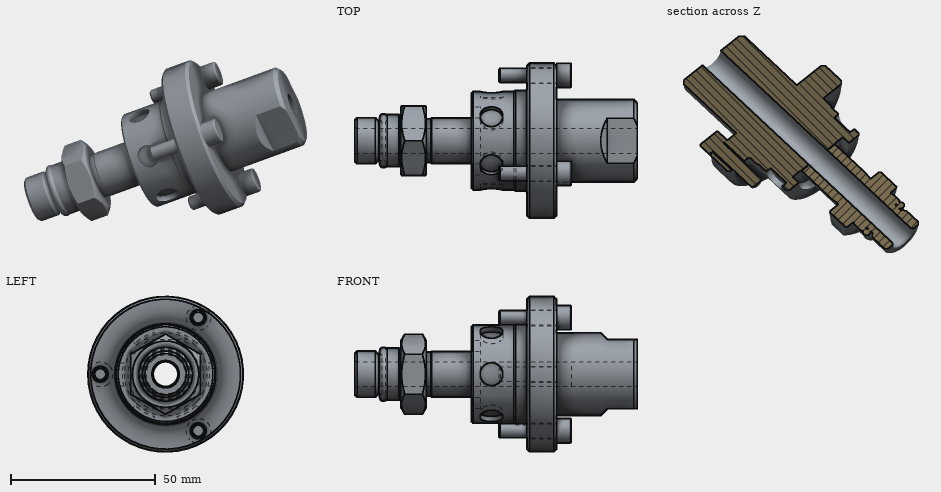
import cadquery as cq
import math


TOTAL_LENGTH = 97.6
BORE_DIAMETER = 8.5

BORE_MOUTH_DIAMETER = 9.5
BORE_MOUTH_DEPTH = 0.8
THREAD_DIAMETER = 16.0
THREAD_TIP_DIAMETER = 14.25
THREAD_SHOULDER_X = 7.1

GROOVE_DIAMETER = 13.5
GROOVE_END_X = 11.2
RING_DIAMETER = 18.6
RING_CENTER_X = 10.0
RING_SECTION_RADIUS = 1.4
SEAL_COLLAR_DIAMETER = 18.2
SEAL_COLLAR_END_X = 15.5
RELIEF_STEP = 0.3

HEX_START_X = 15.9
HEX_LENGTH = 8.9
HEX_ACROSS_FLATS = 24.0
HEX_FACE_DIAMETER = 22.8
HEX_CHAMFER_ANGLE = 30.0
NECK_DIAMETER = 15.3
NECK_END_X = 26.4
NECK_TAPER_LENGTH = 0.3
SHAFT_DIAMETER = 15.8

COLLAR_START_X = 40.3
COLLAR_DIAMETER = 34.1
COLLAR_CHAMFER = 0.7
RECESS_DIAMETER = 23.4
RECESS_DEPTH = 3.1
PILOT_DIAMETER = 34.8
PILOT_START_X = 55.5
PILOT_LEAD_LENGTH = 0.6
PILOT_FILLET = 0.5

RADIAL_HOLE_COUNT = 6
RADIAL_HOLE_DIAMETER = 7.9
RADIAL_HOLE_X = 47.2
RADIAL_HOLE_FLOOR_DIAMETER = 30.1

FLANGE_START_X = 59.4
FLANGE_THICKNESS = 10.2
FLANGE_DIAMETER = 53.7
FLANGE_CHAMFER = 1.0

BODY_DIAMETER = 28.6
BODY_CHAMFER = 1.3
FLAT_SPACING = 24.0
FLAT_START_X = 87.3

SCREW_COUNT = 3
SCREW_CIRCLE_RADIUS = 22.5
SCREW_DIAMETER = 5.0
SCREW_TIP_X = 49.7
SCREW_TIP_CHAMFER = 0.6
SCREW_HOLE_DIAMETER = 5.5
SCREW_HEAD_DIAMETER = 8.5
SCREW_HEAD_LENGTH = 5.1
SCREW_HEAD_FILLET = 0.5

HEX_END_X = HEX_START_X + HEX_LENGTH
STEM_END_X = COLLAR_START_X + RECESS_DEPTH
FLANGE_END_X = FLANGE_START_X + FLANGE_THICKNESS


def cylinder_x(diameter, start_x, end_x):
    """Solid cylinder on the X axis between two stations."""
    return cq.Workplane("YZ").workplane(offset=start_x).circle(diameter / 2).extrude(end_x - start_x)


def revolve_x(outline):
    """Turn a closed (x, radius) outline about the X axis."""
    return outline.close().revolve(360, (0, 0, 0), (1, 0, 0))


def placed_around_x(shape, count):
    """Equally spaced copies of a workplane shape about the X axis."""
    return [shape.rotate((0, 0, 0), (1, 0, 0), i * 360 / count) for i in range(count)]



def make_stem_turning():
    """Thread, seal groove, seal collar, neck and shaft as one turned shape."""
    thread_radius = THREAD_DIAMETER / 2
    tip_radius = THREAD_TIP_DIAMETER / 2
    groove_radius = GROOVE_DIAMETER / 2
    collar_radius = SEAL_COLLAR_DIAMETER / 2
    neck_radius = NECK_DIAMETER / 2
    shaft_radius = SHAFT_DIAMETER / 2
    groove_start_x = THREAD_SHOULDER_X + thread_radius - groove_radius
    return revolve_x(
        cq.Workplane("XY")
        .moveTo(0, 0)
        .lineTo(0, tip_radius)
        .lineTo(thread_radius - tip_radius, thread_radius)
        .lineTo(THREAD_SHOULDER_X, thread_radius)
        .lineTo(groove_start_x, groove_radius)
        .lineTo(GROOVE_END_X, groove_radius)
        .lineTo(GROOVE_END_X, collar_radius)
        .lineTo(SEAL_COLLAR_END_X - RELIEF_STEP, collar_radius)
        .lineTo(SEAL_COLLAR_END_X, collar_radius - RELIEF_STEP)
        .lineTo(HEX_START_X, collar_radius - RELIEF_STEP)
        .lineTo(HEX_START_X, neck_radius)
        .lineTo(NECK_END_X, neck_radius)
        .lineTo(NECK_END_X + NECK_TAPER_LENGTH, shaft_radius)
        .lineTo(STEM_END_X, shaft_radius)
        .lineTo(STEM_END_X, 0)
    )


def make_seal_ring():
    """Round bead that fills the seal groove."""
    ring_center_radius = RING_DIAMETER / 2 - RING_SECTION_RADIUS
    return (
        cq.Workplane("XY")
        .center(RING_CENTER_X, ring_center_radius)
        .circle(RING_SECTION_RADIUS)
        .revolve(360, (0, -ring_center_radius, 0), (1, -ring_center_radius, 0))
    )


def make_hexagon():
    """Hexagon with corners at +Z and -Z, its corners bevelled on both faces."""
    corner_diameter = HEX_ACROSS_FLATS / math.cos(math.pi / 6)
    bevel_rise = (corner_diameter - HEX_FACE_DIAMETER) / 2
    bevel_length = bevel_rise * math.tan(math.radians(HEX_CHAMFER_ANGLE))
    prism = (
        cq.Workplane("YZ")
        .workplane(offset=HEX_START_X)
        .transformed(rotate=(0, 0, 90))
        .polygon(6, corner_diameter)
        .extrude(HEX_LENGTH)
    )
    bevel_envelope = revolve_x(
        cq.Workplane("XY")
        .moveTo(HEX_START_X, 0)
        .lineTo(HEX_START_X, HEX_FACE_DIAMETER / 2)
        .lineTo(HEX_START_X + bevel_length, corner_diameter / 2)
        .lineTo(HEX_END_X - bevel_length, corner_diameter / 2)
        .lineTo(HEX_END_X, HEX_FACE_DIAMETER / 2)
        .lineTo(HEX_END_X, 0)
    )
    return prism.intersect(bevel_envelope)


def make_stem_bore():
    """Through bore with a flared mouth."""
    return revolve_x(
        cq.Workplane("XY")
        .moveTo(0, 0)
        .lineTo(0, BORE_MOUTH_DIAMETER / 2)
        .lineTo(BORE_MOUTH_DEPTH, BORE_DIAMETER / 2)
        .lineTo(STEM_END_X, BORE_DIAMETER / 2)
        .lineTo(STEM_END_X, 0)
    )


def make_stem():
    return make_stem_turning().union(make_seal_ring()).union(make_hexagon()).cut(make_stem_bore())



def make_housing_turning():
    """Collar, pilot, flange and rear body as one turned shape."""
    collar_radius = COLLAR_DIAMETER / 2
    pilot_radius = PILOT_DIAMETER / 2
    flange_radius = FLANGE_DIAMETER / 2
    body_radius = BODY_DIAMETER / 2
    fillet_start_x = FLANGE_START_X - PILOT_FILLET
    fillet_sag = PILOT_FILLET * math.sin(math.pi / 4)
    return revolve_x(
        cq.Workplane("XY")
        .moveTo(COLLAR_START_X, 0)
        .lineTo(COLLAR_START_X, collar_radius - COLLAR_CHAMFER)
        .lineTo(COLLAR_START_X + COLLAR_CHAMFER, collar_radius)
        .lineTo(PILOT_START_X - PILOT_LEAD_LENGTH, collar_radius)
        .lineTo(PILOT_START_X, pilot_radius)
        .lineTo(fillet_start_x, pilot_radius)
        .threePointArc(
            (fillet_start_x + fillet_sag, pilot_radius + PILOT_FILLET - fillet_sag),
            (FLANGE_START_X, pilot_radius + PILOT_FILLET),
        )
        .lineTo(FLANGE_START_X, flange_radius - FLANGE_CHAMFER)
        .lineTo(FLANGE_START_X + FLANGE_CHAMFER, flange_radius)
        .lineTo(FLANGE_END_X - FLANGE_CHAMFER, flange_radius)
        .lineTo(FLANGE_END_X, flange_radius - FLANGE_CHAMFER)
        .lineTo(FLANGE_END_X, body_radius)
        .lineTo(TOTAL_LENGTH - BODY_CHAMFER, body_radius)
        .lineTo(TOTAL_LENGTH, body_radius - BODY_CHAMFER)
        .lineTo(TOTAL_LENGTH, 0)
    )


def make_radial_hole():
    """Blind hole from the -Y side whose floor is a cylinder about the X axis."""
    drill = (
        cq.Workplane("XZ")
        .center(RADIAL_HOLE_X, 0)
        .circle(RADIAL_HOLE_DIAMETER / 2)
        .extrude(COLLAR_DIAMETER)
    )
    return drill.cut(cylinder_x(RADIAL_HOLE_FLOOR_DIAMETER, COLLAR_START_X, PILOT_START_X))


def make_flat_cut():
    """Material above the upper wrench flat, with a 45 degree run-out at its front."""
    flat_height = FLAT_SPACING / 2
    body_radius = BODY_DIAMETER / 2
    return (
        cq.Workplane("XZ")
        .moveTo(TOTAL_LENGTH, flat_height)
        .lineTo(FLAT_START_X, flat_height)
        .lineTo(FLAT_START_X - (body_radius - flat_height), body_radius)
        .lineTo(TOTAL_LENGTH, body_radius)
        .close()
        .extrude(body_radius, both=True)
    )


def make_screw_hole():
    """Clearance hole through the flange at the +Y screw position."""
    hole = cylinder_x(SCREW_HOLE_DIAMETER, FLANGE_START_X, FLANGE_END_X)
    return hole.translate((0, SCREW_CIRCLE_RADIUS, 0))


def make_screw():
    """Screw at the +Y position, its head joined to the back of the flange."""
    shank = cylinder_x(SCREW_DIAMETER, SCREW_TIP_X, FLANGE_END_X).faces("<X").chamfer(SCREW_TIP_CHAMFER)
    head = cylinder_x(SCREW_HEAD_DIAMETER, FLANGE_END_X, FLANGE_END_X + SCREW_HEAD_LENGTH)
    head = head.faces(">X").edges().fillet(SCREW_HEAD_FILLET)
    return shank.union(head).translate((0, SCREW_CIRCLE_RADIUS, 0))


def make_housing():
    body = make_housing_turning()
    body = body.cut(cylinder_x(RECESS_DIAMETER, COLLAR_START_X, STEM_END_X))
    body = body.cut(cylinder_x(BORE_DIAMETER, STEM_END_X, TOTAL_LENGTH))
    for hole in placed_around_x(make_radial_hole(), RADIAL_HOLE_COUNT):
        body = body.cut(hole)
    for flat_cut in placed_around_x(make_flat_cut(), 2):
        body = body.cut(flat_cut)
    for hole in placed_around_x(make_screw_hole(), SCREW_COUNT):
        body = body.cut(hole)
    for screw in placed_around_x(make_screw(), SCREW_COUNT):
        body = body.union(screw)
    return body


stem = make_stem()
housing = make_housing()

result = cq.Compound.makeCompound([stem.val(), housing.val()])